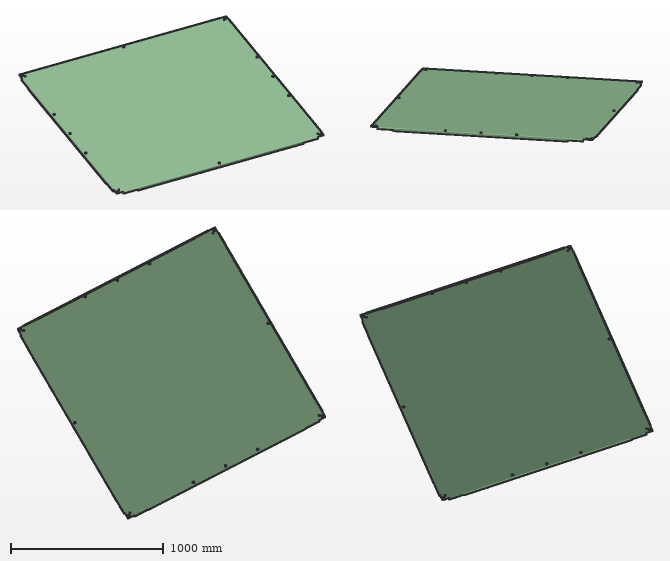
import cadquery as cq
import math

length_x = 1490.0
length_y = 1522.0
height = 23.0

thickness = 3.0
bend_radius = 5.8
inner_radius = bend_radius - thickness

shallow_depth = 15.0
flange_end_inset = 50.0
deep_end_inset = 155.0
corner_setback = 5.0

edge_hole_diameter = 12.0
edge_hole_inset = 20.0
edge_hole_spacing = 240.0
corner_hole_diameter = 8.0
corner_hole_inset = 35.0


def corner_points(inset):
    """Four points, one per panel corner, set in from both flange faces."""
    x = length_x / 2 - inset
    y = length_y / 2 - inset
    return [(x, y), (-x, y), (-x, -y), (x, -y)]


def flat_sheet():
    """Flat area between the bends, plus a square tab at each corner beside the flange ends."""
    tab_side = flange_end_inset - corner_setback
    tab_centre_inset = (flange_end_inset + corner_setback) / 2
    sheet_plane = cq.Workplane("XY", origin=(0, 0, height - thickness))
    sheet = sheet_plane.rect(length_x - 2 * bend_radius, length_y - 2 * bend_radius).extrude(thickness)
    tabs = sheet_plane.pushPoints(corner_points(tab_centre_inset)).rect(tab_side, tab_side).extrude(thickness)
    return sheet.union(tabs)


def flange(edge_length, face_offset, turn):
    """Bend and flange for one edge, made facing -Y and then turned about Z by `turn` degrees."""
    outer_y = -face_offset
    inner_y = outer_y + thickness
    bend_y = outer_y + bend_radius
    bend_z = height - bend_radius
    outer_mid = bend_radius * math.sqrt(0.5)
    inner_mid = inner_radius * math.sqrt(0.5)
    end_x = edge_length / 2 - flange_end_inset
    deep_x = edge_length / 2 - deep_end_inset

    strip = (
        cq.Workplane("YZ", origin=(-end_x, 0, 0))
        .moveTo(outer_y, 0)
        .lineTo(outer_y, bend_z)
        .threePointArc((bend_y - outer_mid, bend_z + outer_mid), (bend_y, height))
        .lineTo(bend_y, height - thickness)
        .threePointArc((bend_y - inner_mid, bend_z + inner_mid), (inner_y, bend_z))
        .lineTo(inner_y, 0)
        .close()
        .extrude(2 * end_x)
    )

    step_centre = (end_x + deep_x) / 2
    steps = (
        cq.Workplane("XY", origin=(0, outer_y + thickness / 2, 0))
        .pushPoints([(-step_centre, 0), (step_centre, 0)])
        .rect(end_x - deep_x, thickness)
        .extrude(height - shallow_depth)
    )
    return strip.cut(steps).rotate((0, 0, 0), (0, 0, 1), turn)


def edge_hole_points():
    """A hole at each corner, three along each X edge and one in the middle of each Y edge."""
    x = length_x / 2 - edge_hole_inset
    y = length_y / 2 - edge_hole_inset
    points = corner_points(edge_hole_inset) + [(-x, 0), (x, 0)]
    for side_y in (-y, y):
        for step in (-1, 0, 1):
            points.append((step * edge_hole_spacing, side_y))
    return points


def drills(diameter, points):
    """Cylinders that pass right through the sheet."""
    return cq.Workplane("XY").pushPoints(points).circle(diameter / 2).extrude(height)


result = flat_sheet()
for half_turn in (0, 180):
    result = result.union(flange(length_x, length_y / 2, half_turn))
    result = result.union(flange(length_y, length_x / 2, half_turn + 90))

result = result.cut(drills(edge_hole_diameter, edge_hole_points()))
result = result.cut(drills(corner_hole_diameter, corner_points(corner_hole_inset)))